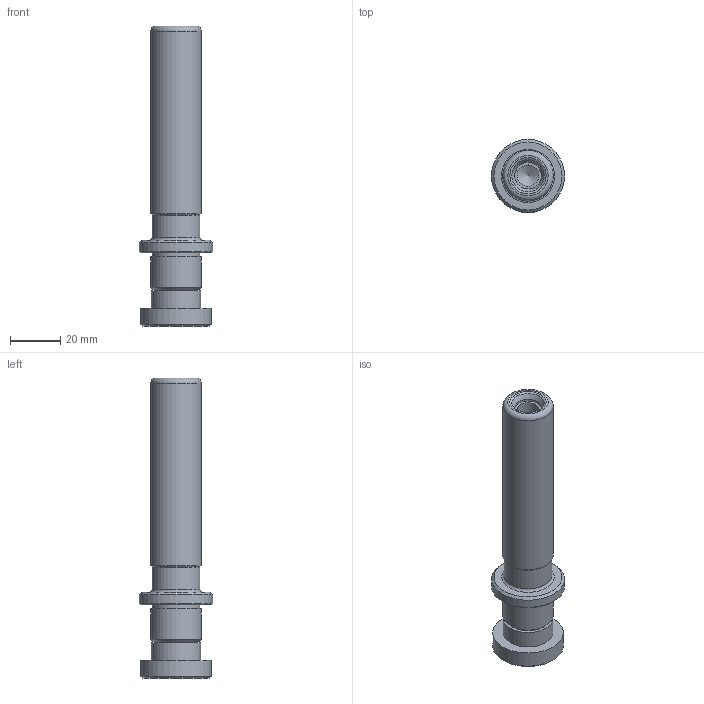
import cadquery as cq
import math

foot_radius = 14.0
foot_flange_height = 7.0
foot_chamfer = 0.6
foot_spigot_radius = 9.85
foot_spigot_height = 7.0
foot_height = foot_flange_height + foot_spigot_height

pillar_length = 105.0
pillar_radius = 10.0
pillar_bottom = foot_height
pillar_top = pillar_bottom + pillar_length
pillar_bottom_chamfer = 1.3
top_rounding = 2.0

collar_radius = 14.5
collar_height = 5.0
collar_offset = 15.0
collar_bottom = pillar_bottom + collar_offset
collar_top = collar_bottom + collar_height
collar_top_chamfer = 1.0
collar_bottom_chamfer = 0.5

relief_radius = 9.5
lower_relief_height = 1.35
lower_relief_taper = 0.25
upper_relief_height = 10.0
upper_relief_taper = 0.6
relief_fillet = 1.0

mouth_radius = 7.2
cone_radius = 6.4
land_radius = 5.25
drill_radius = 4.25
mouth_half_angle = 60.0
cone_half_angle = 30.0
land_length = 0.8
drill_depth = 25.0
drill_half_angle = 59.0


def cone_depth(wide_radius, narrow_radius, half_angle):
    """Axial length of a cone narrowing between two radii."""
    return (wide_radius - narrow_radius) / math.tan(math.radians(half_angle))


def revolve_about_z(profile):
    """Turn a closed radius/height profile into a solid about the Z axis."""
    return profile.close().revolve(360, (0, 0, 0), (0, 1, 0))


def make_foot():
    profile = (
        cq.Workplane("XZ")
        .lineTo(foot_radius - foot_chamfer, 0)
        .lineTo(foot_radius, foot_chamfer)
        .lineTo(foot_radius, foot_flange_height)
        .lineTo(foot_spigot_radius, foot_flange_height)
        .lineTo(foot_spigot_radius, foot_height)
        .lineTo(0, foot_height)
    )
    return revolve_about_z(profile)


def make_pillar_blank():
    lower_relief_bottom = collar_bottom - lower_relief_height
    upper_relief_top = collar_top + upper_relief_height
    profile = (
        cq.Workplane("XZ")
        .moveTo(0, pillar_bottom)
        .lineTo(pillar_radius - pillar_bottom_chamfer, pillar_bottom)
        .lineTo(pillar_radius, pillar_bottom + pillar_bottom_chamfer)
        .lineTo(pillar_radius, lower_relief_bottom - lower_relief_taper)
        .lineTo(relief_radius, lower_relief_bottom)
        .lineTo(relief_radius, collar_bottom)
        .lineTo(collar_radius - collar_bottom_chamfer, collar_bottom)
        .lineTo(collar_radius, collar_bottom + collar_bottom_chamfer)
        .lineTo(collar_radius, collar_top - collar_top_chamfer)
        .lineTo(collar_radius - collar_top_chamfer, collar_top)
        .lineTo(relief_radius + relief_fillet, collar_top)
        .radiusArc((relief_radius, collar_top + relief_fillet), relief_fillet)
        .lineTo(relief_radius, upper_relief_top)
        .lineTo(pillar_radius, upper_relief_top + upper_relief_taper)
        .lineTo(pillar_radius, pillar_top - top_rounding)
        .radiusArc((pillar_radius - top_rounding, pillar_top), -top_rounding)
        .lineTo(0, pillar_top)
    )
    return revolve_about_z(profile)


def make_centre_hole():
    cone_start = pillar_top - cone_depth(mouth_radius, cone_radius, mouth_half_angle)
    cone_end = cone_start - cone_depth(cone_radius, land_radius, cone_half_angle)
    land_end = cone_end - land_length
    drill_end = pillar_top - drill_depth
    drill_tip = drill_end - cone_depth(drill_radius, 0, drill_half_angle)
    profile = (
        cq.Workplane("XZ")
        .moveTo(0, pillar_top)
        .lineTo(mouth_radius, pillar_top)
        .lineTo(cone_radius, cone_start)
        .lineTo(land_radius, cone_end)
        .lineTo(land_radius, land_end)
        .lineTo(drill_radius, land_end)
        .lineTo(drill_radius, drill_end)
        .lineTo(0, drill_tip)
    )
    return revolve_about_z(profile)


foot = make_foot()
pillar = make_pillar_blank().cut(make_centre_hole())

result = cq.Compound.makeCompound([pillar.val(), foot.val()])